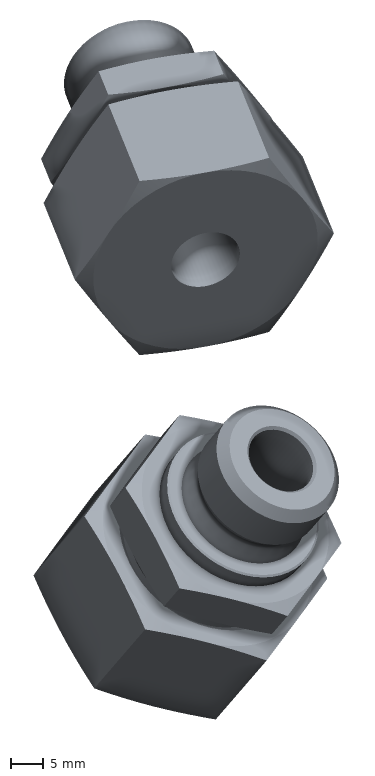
import cadquery as cq
import math

SPIGOT_CHAMFER_END = 1.6
GROOVE_START = 8.4
GROOVE_BOTTOM = 10.65
COLLAR_START = 14.05
HEX_START = 17.0
HEX_END = 24.0
NUT_START = 27.0
NECK_END = 27.5
NUT_END = 47.0

SPIGOT_RADIUS = 10.5
SPIGOT_END_RADIUS = 9.0
GROOVE_FILLET = 1.25
GROOVE_FRONT_ANGLE = 30.0
GROOVE_REAR_ANGLE = 21.0
COLLAR_RADIUS = 12.95
COLLAR_CHAMFER_LENGTH = 0.2
COLLAR_CHAMFER_DEPTH = 0.35
NECK_RADIUS = 13.5
SHANK_RADIUS = 14.0
NECK_FILLET = 1.1
SHANK_CONE_ANGLE = 30.0
BORE_RADIUS = 5.5
BORE_CHAMFER = 0.4

HEX_ACROSS_FLATS = 32.0
NUT_ACROSS_FLATS = 36.0
CORNER_CHAMFER_ANGLE = 15.0

SOCKET_DEPTH = 13.15
MOUTH_CHAMFER = 1.18
SHANK_END = NUT_START + SOCKET_DEPTH


def cylinder(start, end, radius):
    """Cylinder about the X axis between two stations."""
    return cq.Workplane("YZ", origin=(start, 0, 0)).circle(radius).extrude(end - start)


def revolve_about_x(profile):
    """Revolve a closed (x, radius) profile about the X axis."""
    return profile.close().revolve(360, (0, 0, 0), (1, 0, 0))


def chamfered_hexagon(start, end, across_flats):
    """Hexagonal prism along X, its corners turned down by a cone at both ends."""
    flat_radius = across_flats / 2
    corner_radius = flat_radius / math.cos(math.radians(30))
    slope = math.tan(math.radians(CORNER_CHAMFER_ANGLE))
    chamfer_length = (corner_radius - flat_radius) * slope
    prism = (
        cq.Workplane("YZ", origin=(start, 0, 0))
        .polygon(6, 2 * corner_radius)
        .extrude(end - start)
    )
    turned_blank = revolve_about_x(
        cq.Workplane("XY")
        .moveTo(start, 0)
        .lineTo(start, flat_radius)
        .lineTo(start + chamfer_length, corner_radius)
        .lineTo(end - chamfer_length, corner_radius)
        .lineTo(end, flat_radius)
        .lineTo(end, 0)
    )
    return prism.intersect(turned_blank)


def make_spigot():
    """Chamfered spigot, rounded V-groove and collar, up to the hexagon."""
    front = math.radians(GROOVE_FRONT_ANGLE)
    rear = math.radians(GROOVE_REAR_ANGLE)

    front_tangent_x = GROOVE_BOTTOM - GROOVE_FILLET * math.sin(front)
    front_tangent_r = SPIGOT_RADIUS - (front_tangent_x - GROOVE_START) * math.tan(front)
    fillet_center_r = front_tangent_r + GROOVE_FILLET * math.cos(front)
    groove_radius = fillet_center_r - GROOVE_FILLET
    rear_tangent_x = GROOVE_BOTTOM + GROOVE_FILLET * math.sin(rear)
    rear_tangent_r = fillet_center_r - GROOVE_FILLET * math.cos(rear)
    cone_base_radius = rear_tangent_r + (COLLAR_START - rear_tangent_x) * math.tan(rear)

    return revolve_about_x(
        cq.Workplane("XY")
        .moveTo(0, 0)
        .lineTo(0, SPIGOT_END_RADIUS)
        .lineTo(SPIGOT_CHAMFER_END, SPIGOT_RADIUS)
        .lineTo(GROOVE_START, SPIGOT_RADIUS)
        .lineTo(front_tangent_x, front_tangent_r)
        .threePointArc((GROOVE_BOTTOM, groove_radius), (rear_tangent_x, rear_tangent_r))
        .lineTo(COLLAR_START, cone_base_radius)
        .lineTo(COLLAR_START, COLLAR_RADIUS - COLLAR_CHAMFER_DEPTH)
        .lineTo(COLLAR_START + COLLAR_CHAMFER_LENGTH, COLLAR_RADIUS)
        .lineTo(HEX_START, COLLAR_RADIUS)
        .lineTo(HEX_START, 0)
    )


def make_shank():
    """Shank that fills the nut socket, and the filleted neck between it and the hexagon."""
    root_radius = NECK_RADIUS + NECK_FILLET
    root_end = HEX_END + NECK_FILLET
    arc_offset = NECK_FILLET * math.sin(math.radians(45))
    cone_length = (SHANK_RADIUS - NECK_RADIUS) / math.tan(math.radians(SHANK_CONE_ANGLE))
    return revolve_about_x(
        cq.Workplane("XY")
        .moveTo(HEX_END, 0)
        .lineTo(HEX_END, root_radius)
        .threePointArc((root_end - arc_offset, root_radius - arc_offset), (root_end, NECK_RADIUS))
        .lineTo(NECK_END, NECK_RADIUS)
        .lineTo(NECK_END + cone_length, SHANK_RADIUS)
        .lineTo(SHANK_END, SHANK_RADIUS)
        .lineTo(SHANK_END, 0)
    )


def make_fitting():
    """Spigot, hexagon and shank in one piece, bored through."""
    solid = make_spigot().union(chamfered_hexagon(HEX_START, HEX_END, HEX_ACROSS_FLATS)).union(make_shank())
    mouth = revolve_about_x(
        cq.Workplane("XY")
        .moveTo(0, 0)
        .lineTo(0, BORE_RADIUS + BORE_CHAMFER)
        .lineTo(BORE_CHAMFER, BORE_RADIUS)
        .lineTo(BORE_CHAMFER, 0)
    )
    return solid.cut(cylinder(0, SHANK_END, BORE_RADIUS)).cut(mouth)


def make_nut():
    """Hexagon nut with a socket for the shank and a passage in line with the bore."""
    blank = chamfered_hexagon(NUT_START, NUT_END, NUT_ACROSS_FLATS)
    socket = cylinder(NUT_START, SHANK_END, SHANK_RADIUS)
    passage = cylinder(SHANK_END, NUT_END, BORE_RADIUS)
    mouth = revolve_about_x(
        cq.Workplane("XY")
        .moveTo(NUT_START, 0)
        .lineTo(NUT_START, SHANK_RADIUS + MOUTH_CHAMFER)
        .lineTo(NUT_START + MOUTH_CHAMFER, SHANK_RADIUS)
        .lineTo(NUT_START + MOUTH_CHAMFER, 0)
    )
    return blank.cut(socket).cut(mouth).cut(passage)


fitting = make_fitting()
nut = make_nut()

result = cq.Compound.makeCompound([fitting.val(), nut.val()])